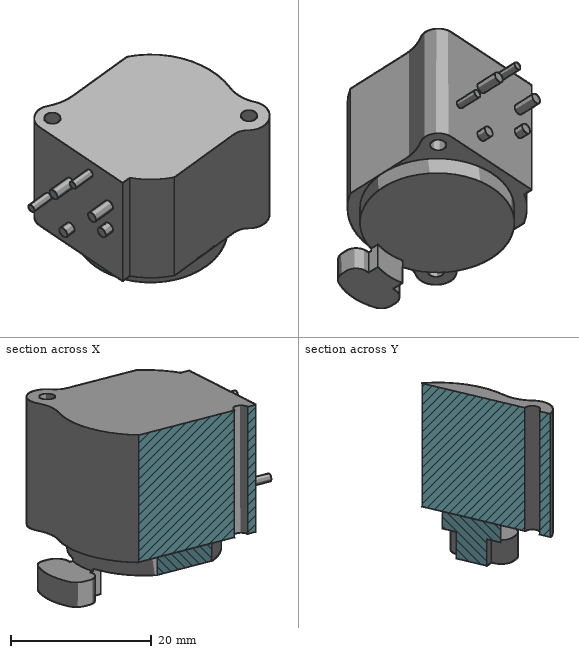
import cadquery as cq
import math


housing_height = 19.5
housing_radius = 12.8
housing_half_width = 11.0
terminal_face_y = -12.5
terminal_face_right_x = 6.5

ear_distance = 14.0
ear_offset = ear_distance / math.sqrt(2)
rear_ear_radius = 2.95
front_ear_radius = -terminal_face_y - ear_offset
ear_hole_diameter = 2.3
rear_ear_round_blend = 6.0
rear_ear_side_blend = 3.0
front_ear_side_blend = 8.0

thin_terminal_diameter = 1.2
thick_terminal_diameter = 1.6
terminal_length = 3.5
inner_column_x = 3.8
thin_terminal_places = [(0.0, 17.1), (-8.2, 7.0)]
thick_terminal_places = [(inner_column_x, 13.3), (-inner_column_x, 12.7)]
peg_diameter = 1.6
peg_length = 1.5
peg_places = [(inner_column_x, 8.9), (-inner_column_x, 3.8)]

disc_radius = 11.0
disc_thickness = 2.7
stem_width = 5.0
stem_inner_radius = 9.67
lever_gap = 0.4
lever_thickness = 3.8
lever_width = 10.0
lever_inner_y = 11.2
lever_tip_y = 16.62
lever_tip_radius = 10.0
lever_corner_radius = 2.0


def toward(start, target, distance):
    """Point at a distance from start, on the line to target."""
    span = math.dist(start, target)
    return tuple(a + (b - a) * distance / span for a, b in zip(start, target))


def side_blend_center(ear, ear_radius, blend_radius):
    """Center of the hollow arc that joins an ear to the flat side next to it."""
    side = math.copysign(1, ear[0])
    x = side * (housing_half_width + blend_radius)
    rise = math.sqrt((ear_radius + blend_radius) ** 2 - (x - ear[0]) ** 2)
    return (x, ear[1] - side * rise)


def round_blend_center(ear_radius, blend_radius):
    """Center of the hollow arc that joins the rear ear to the round wall of the housing."""
    from_axis = housing_radius + blend_radius
    from_ear = ear_radius + blend_radius
    cosine = (from_axis**2 + ear_distance**2 - from_ear**2) / (2 * from_axis * ear_distance)
    angle = math.pi / 4 + math.acos(cosine)
    return (from_axis * math.cos(angle), from_axis * math.sin(angle))


def arc_middle(center, radius, start, end):
    """Middle of the arc between two points less than half a turn apart."""
    chord_middle = ((start[0] + end[0]) / 2, (start[1] + end[1]) / 2)
    return toward(center, chord_middle, radius)


def build_housing():
    axis = (0.0, 0.0)
    rear_ear = (ear_offset, ear_offset)
    front_ear = (-ear_offset, -ear_offset)

    corner_y = math.sqrt(housing_radius**2 - housing_half_width**2)
    right_corner = (housing_half_width, -corner_y)
    left_corner = (-housing_half_width, corner_y)
    notch = (terminal_face_right_x, -math.sqrt(housing_radius**2 - terminal_face_right_x**2))

    right_blend = side_blend_center(rear_ear, rear_ear_radius, rear_ear_side_blend)
    right_blend_start = (housing_half_width, right_blend[1])
    right_blend_end = toward(rear_ear, right_blend, rear_ear_radius)
    rear_blend = round_blend_center(rear_ear_radius, rear_ear_round_blend)
    rear_blend_start = toward(rear_ear, rear_blend, rear_ear_radius)
    rear_blend_end = toward(axis, rear_blend, housing_radius)
    left_blend = side_blend_center(front_ear, front_ear_radius, front_ear_side_blend)
    left_blend_start = (-housing_half_width, left_blend[1])
    left_blend_end = toward(front_ear, left_blend, front_ear_radius)
    front_ear_end = (front_ear[0], terminal_face_y)

    rear_ear_tip = toward(axis, rear_ear, ear_distance + rear_ear_radius)
    front_ear_tip = toward(axis, front_ear, ear_distance + front_ear_radius)

    body = (
        cq.Workplane("XY")
        .moveTo(terminal_face_right_x, terminal_face_y)
        .lineTo(*notch)
        .threePointArc(arc_middle(axis, housing_radius, notch, right_corner), right_corner)
        .lineTo(*right_blend_start)
        .threePointArc(
            arc_middle(right_blend, rear_ear_side_blend, right_blend_start, right_blend_end),
            right_blend_end,
        )
        .threePointArc(rear_ear_tip, rear_blend_start)
        .threePointArc(
            arc_middle(rear_blend, rear_ear_round_blend, rear_blend_start, rear_blend_end),
            rear_blend_end,
        )
        .threePointArc(arc_middle(axis, housing_radius, rear_blend_end, left_corner), left_corner)
        .lineTo(*left_blend_start)
        .threePointArc(
            arc_middle(left_blend, front_ear_side_blend, left_blend_start, left_blend_end),
            left_blend_end,
        )
        .threePointArc(front_ear_tip, front_ear_end)
        .close()
        .extrude(housing_height)
    )
    ear_holes = (
        cq.Workplane("XY")
        .pushPoints([rear_ear, front_ear])
        .circle(ear_hole_diameter / 2)
        .extrude(housing_height)
    )
    body = body.cut(ear_holes)
    for place in peg_places:
        body = body.union(build_post(place, peg_diameter, peg_length))
    return body


def build_post(place, diameter, length):
    """Round post that stands out from the terminal face toward -Y."""
    return (
        cq.Workplane("XZ", origin=(0, terminal_face_y, 0))
        .center(*place)
        .circle(diameter / 2)
        .extrude(length)
    )


def build_lever():
    """Lever plate with a rounded tip, on a stem that follows the rim of the disc."""
    plate_top = -disc_thickness - lever_gap
    plate_bottom = plate_top - lever_thickness
    half_width = lever_width / 2
    tip_center_y = lever_tip_y - lever_tip_radius
    corner_y = tip_center_y + math.sqrt(lever_tip_radius**2 - half_width**2)
    plate = (
        cq.Workplane("XY", origin=(0, 0, plate_bottom))
        .moveTo(-half_width, lever_inner_y)
        .lineTo(half_width, lever_inner_y)
        .lineTo(half_width, corner_y)
        .threePointArc((0, lever_tip_y), (-half_width, corner_y))
        .close()
        .extrude(lever_thickness)
        .edges("|Z")
        .fillet(lever_corner_radius)
    )

    stem_strip = (
        cq.Workplane("XY", origin=(0, lever_inner_y / 2, plate_bottom))
        .rect(stem_width, lever_inner_y)
        .extrude(lever_thickness)
    )
    gap_strip = (
        cq.Workplane("XY", origin=(0, disc_radius / 2, plate_top))
        .rect(stem_width, disc_radius)
        .extrude(lever_gap)
        .intersect(cq.Workplane("XY", origin=(0, 0, plate_top)).circle(disc_radius).extrude(lever_gap))
    )
    core = (
        cq.Workplane("XY", origin=(0, 0, plate_bottom))
        .circle(stem_inner_radius)
        .extrude(lever_thickness + lever_gap)
    )
    stem = stem_strip.union(gap_strip).cut(core)
    return plate.union(stem)


def build_rotor():
    disc = cq.Workplane("XY").circle(disc_radius).extrude(-disc_thickness)
    return disc.union(build_lever())


housing = build_housing()
rotor = build_rotor()
thin_terminals = [
    build_post(place, thin_terminal_diameter, terminal_length) for place in thin_terminal_places
]
thick_terminals = [
    build_post(place, thick_terminal_diameter, terminal_length) for place in thick_terminal_places
]

bodies = [housing, rotor, *thin_terminals, *thick_terminals]
result = cq.Compound.makeCompound([body.val() for body in bodies])